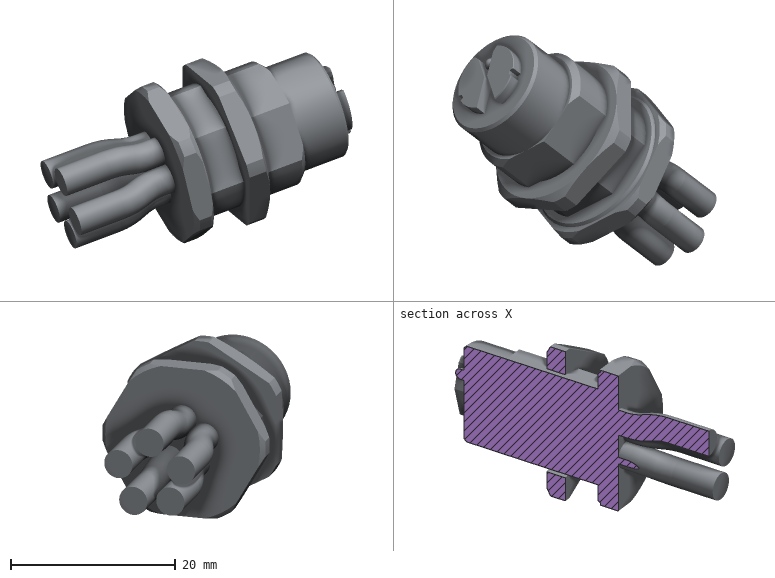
import cadquery as cq
import math


FLANGE_HEX_FRONT = 2.7
FLANGE_FRONT = 3.05
NUT_REAR = 7.7
NUT_FRONT = 10.5
BODY_FRONT = 16.3
SLEEVE_FRONT = 22.55
INSERT_FRONT = 24.05

HEX_WIDTH = 19.0
FLANGE_CORNER_DIAMETER = 20.89
NUT_CORNER_DIAMETER = 20.99
NUT_TURN = 30
FLANGE_CHAMFER = 0.55
COLLAR_BASE_DIAMETER = 18.4
COLLAR_FACE_DIAMETER = 17.8
NUT_FACE_DIAMETER = 19.0
NUT_BORE_DIAMETER = 14.4
NUT_CHAMFER_LENGTH = 0.55

BODY_DIAMETER = 16.0
BODY_CHAMFER = 0.75
SLEEVE_DIAMETER = 13.5
SLEEVE_CHAMFER = 0.35
FLAT_ANGLES = (0, 45, 180, 225)

INSERT_DIAMETER = 8.75
INSERT_CHAMFER_LENGTH = 0.15
INSERT_CHAMFER_DEPTH = 0.05
KEYWAY_MOUTH_HALF_WIDTH = 1.9
KEYWAY_MOUTH_HEIGHT = 3.94
KEYWAY_LIP_HALF_WIDTH = 1.6
KEYWAY_LIP_HEIGHT = 3.75
KEYWAY_STEP_HALF_WIDTH = 1.18
KEYWAY_STEP_HEIGHT = 3.3
KEYWAY_WAIST_HALF_WIDTH = 0.22
KEYWAY_BOTTOM_HALF_WIDTH = 1.41
KEYWAY_BOTTOM_HEIGHT = -4.14
SIDE_SLOT_MOUTH_WIDTH = 1.06
SIDE_SLOT_FLOOR_WIDTH = 0.5
SIDE_SLOT_DEPTH = 0.5
SIDE_SLOT_ANGLES = (198, 342)
PIN_DIAMETER = 1.5
PIN_HEIGHT = 2.5
PIN_DOME_START = 23.05

CABLE_DIAMETER = 3.6
CABLE_LEAD = 1.2
CABLE_BEND = 6.0
CABLE_TAIL = 6.0
CABLE_START_RADIUS = 2.95
CABLE_FIRST_START_ANGLE = 90
CABLE_END_RADIUS = 4.12
CABLE_END_ANGLES = (90, 166.3, 239.5, 310, 13.7)


def disc(diameter, y_start, y_end):
    """Cylinder on the connector axis between two positions."""
    base = cq.Workplane("XZ", origin=(0, y_start, 0))
    return base.circle(diameter / 2).extrude(y_start - y_end)


def turned(points):
    """Solid of revolution from a (radius, y) outline closed along the axis."""
    outline = [(0, points[0][1])] + points + [(0, points[-1][1])]
    return cq.Workplane("XY").polyline(outline).close().revolve(360, (0, 0, 0), (0, 1, 0))


def hexagon(y_start, y_end):
    """Hexagonal prism with two flats facing up and down."""
    corner_diameter = HEX_WIDTH / math.cos(math.pi / 6)
    base = cq.Workplane("XZ", origin=(0, y_start, 0))
    return base.polygon(6, corner_diameter).extrude(y_start - y_end)


def turn_about_axis(shape, angle):
    return shape.rotate((0, 0, 0), (0, 1, 0), angle)


def polar(radius, angle):
    """X and Z of a point at an angle from +X towards +Z."""
    return radius * math.cos(math.radians(angle)), radius * math.sin(math.radians(angle))


def make_flange():
    rim = FLANGE_CORNER_DIAMETER / 2
    envelope = turned([
        (rim - FLANGE_CHAMFER, 0),
        (rim, FLANGE_CHAMFER),
        (rim, FLANGE_HEX_FRONT - FLANGE_CHAMFER),
        (rim - FLANGE_CHAMFER, FLANGE_HEX_FRONT),
    ])
    collar = turned([
        (COLLAR_BASE_DIAMETER / 2, 0),
        (COLLAR_BASE_DIAMETER / 2, FLANGE_HEX_FRONT),
        (COLLAR_FACE_DIAMETER / 2, FLANGE_FRONT),
    ])
    return hexagon(0, FLANGE_HEX_FRONT).intersect(envelope).union(collar)


def make_nut():
    rim = NUT_CORNER_DIAMETER / 2
    envelope = turned([
        (rim, NUT_REAR),
        (rim, NUT_FRONT - NUT_CHAMFER_LENGTH),
        (NUT_FACE_DIAMETER / 2, NUT_FRONT),
    ])
    blank = turn_about_axis(hexagon(NUT_REAR, NUT_FRONT), NUT_TURN).intersect(envelope)
    return blank.cut(disc(NUT_BORE_DIAMETER, NUT_REAR, NUT_FRONT))


def make_body():
    body = disc(BODY_DIAMETER, 0, BODY_FRONT).faces(">Y").chamfer(BODY_CHAMFER)
    flat_distance = SLEEVE_DIAMETER / 2
    length = BODY_FRONT - FLANGE_HEX_FRONT
    for angle in FLAT_ANGLES:
        cutter = cq.Workplane("XY").box(BODY_DIAMETER, length, BODY_DIAMETER, centered=(True, False, False))
        cutter = cutter.translate((0, FLANGE_HEX_FRONT, flat_distance))
        body = body.cut(turn_about_axis(cutter, angle))
    sleeve = disc(SLEEVE_DIAMETER, 0, SLEEVE_FRONT).faces(">Y").chamfer(SLEEVE_CHAMFER)
    return body.union(sleeve)


def make_keyway():
    """Slot that splits the insert, narrow at the axis and flared towards the top and bottom."""
    length = INSERT_FRONT - SLEEVE_FRONT
    right_side = [
        (KEYWAY_BOTTOM_HALF_WIDTH, -INSERT_DIAMETER),
        (KEYWAY_BOTTOM_HALF_WIDTH, KEYWAY_BOTTOM_HEIGHT),
        (KEYWAY_WAIST_HALF_WIDTH, 0),
        (KEYWAY_STEP_HALF_WIDTH, KEYWAY_STEP_HEIGHT),
        (KEYWAY_LIP_HALF_WIDTH, KEYWAY_LIP_HEIGHT),
        (KEYWAY_MOUTH_HALF_WIDTH, KEYWAY_MOUTH_HEIGHT),
        (KEYWAY_MOUTH_HALF_WIDTH, INSERT_DIAMETER),
    ]
    left_side = [(-x, z) for x, z in reversed(right_side)]
    base = cq.Workplane("XZ", origin=(0, SLEEVE_FRONT, 0))
    return base.polyline(right_side + left_side).close().extrude(-length)


def make_pin():
    radius = PIN_DIAMETER / 2
    outline = (
        cq.Workplane("XY")
        .moveTo(0, SLEEVE_FRONT)
        .lineTo(radius, SLEEVE_FRONT)
        .lineTo(radius, PIN_DOME_START)
        .radiusArc((0, PIN_DOME_START + radius), -radius)
        .close()
    )
    return outline.revolve(360, (0, 0, 0), (0, 1, 0)).translate((0, 0, PIN_HEIGHT))


def make_side_slot():
    """Tapered groove in the insert rim on the +X side."""
    mouth_x = INSERT_DIAMETER / 2
    floor_x = mouth_x - SIDE_SLOT_DEPTH
    mouth_half = SIDE_SLOT_MOUTH_WIDTH / 2
    floor_half = SIDE_SLOT_FLOOR_WIDTH / 2
    outline = [
        (floor_x, -floor_half),
        (mouth_x, -mouth_half),
        (mouth_x, mouth_half),
        (floor_x, floor_half),
    ]
    base = cq.Workplane("XZ", origin=(0, SLEEVE_FRONT, 0))
    return base.polyline(outline).close().extrude(SLEEVE_FRONT - INSERT_FRONT)


def make_insert():
    rim = INSERT_DIAMETER / 2
    insert = turned([
        (rim, SLEEVE_FRONT),
        (rim, INSERT_FRONT - INSERT_CHAMFER_LENGTH),
        (rim - INSERT_CHAMFER_DEPTH, INSERT_FRONT),
    ])
    insert = insert.cut(make_keyway())
    for angle in SIDE_SLOT_ANGLES:
        insert = insert.cut(turn_about_axis(make_side_slot(), -angle))
    return insert.union(make_pin())


def make_cable(start_angle, end_angle):
    """Round cable with an S-bend of two equal arcs that spreads it outwards."""
    start_x, start_z = polar(CABLE_START_RADIUS, start_angle)
    end_x, end_z = polar(CABLE_END_RADIUS, end_angle)
    shift_x = end_x - start_x
    shift_z = end_z - start_z
    shift = math.hypot(shift_x, shift_z)

    sideways = cq.Vector(shift_x, 0, shift_z)
    normal = sideways.cross(cq.Vector(0, -1, 0))
    bend_plane = cq.Plane(origin=(start_x, 0, start_z), xDir=sideways, normal=normal)
    bend_end = CABLE_LEAD + CABLE_BEND
    path = (
        cq.Workplane(bend_plane)
        .lineTo(0, CABLE_LEAD)
        .tangentArcPoint((shift / 2, CABLE_LEAD + CABLE_BEND / 2), relative=False)
        .tangentArcPoint((shift, bend_end), relative=False)
        .lineTo(shift, bend_end + CABLE_TAIL)
    )
    profile = cq.Workplane("XZ", origin=(start_x, 0, start_z)).circle(CABLE_DIAMETER / 2)
    return profile.sweep(path)


result = make_body().union(make_flange()).union(make_nut()).union(make_insert())
for index, cable_end_angle in enumerate(CABLE_END_ANGLES):
    cable_start_angle = CABLE_FIRST_START_ANGLE + index * 360 / len(CABLE_END_ANGLES)
    result = result.union(make_cable(cable_start_angle, cable_end_angle))